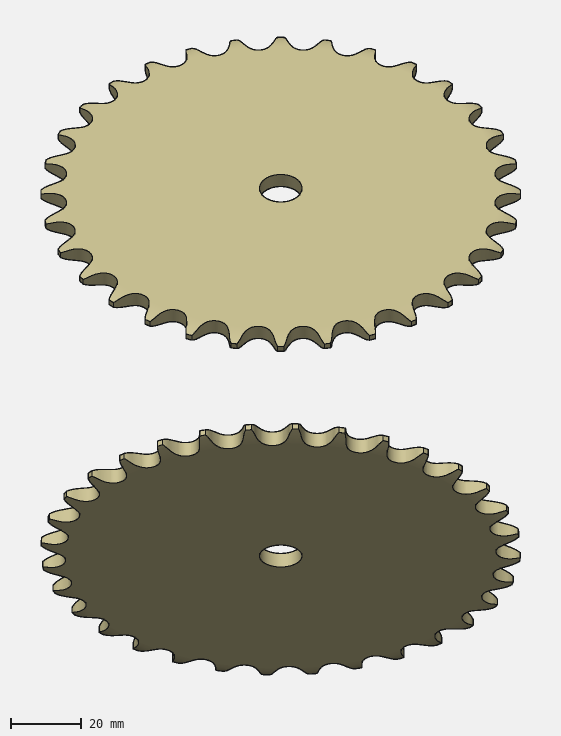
import cadquery as cq
import math

TOOTH_COUNT = 32
PITCH = 12.7
ROLLER_DIAMETER = 7.77
OUTER_DIAMETER = 135.5
THICKNESS = 4.5
BORE_DIAMETER = 12.0

TIP_RELIEF_START_RADIUS = 62.0
TIP_RELIEF_RADIUS = PITCH

half_tooth_angle = math.pi / TOOTH_COUNT
pitch_radius = PITCH / (2 * math.sin(half_tooth_angle))
outer_radius = OUTER_DIAMETER / 2

SEATING_CLEARANCE = 0.0762
seating_radius = (1.005 * ROLLER_DIAMETER + SEATING_CLEARANCE) / 2
working_center_offset = 0.8 * ROLLER_DIAMETER
topping_center_offset = 1.4 * ROLLER_DIAMETER
working_radius = seating_radius + working_center_offset
seating_end_angle = math.radians(35 + 60 / TOOTH_COUNT)
working_sweep = math.radians(18 - 56 / TOOTH_COUNT)
flank_normal_angle = seating_end_angle - working_sweep
topping_angle = math.radians(17 - 64 / TOOTH_COUNT)
flank_length = (
    topping_center_offset * math.sin(topping_angle)
    - working_center_offset * math.sin(working_sweep)
)
topping_radius = (
    working_center_offset * math.cos(working_sweep)
    + topping_center_offset * math.cos(topping_angle)
    - working_radius
)


def offset_point(origin, distance, angle):
    """Point at a distance from origin, in a direction measured downwards from +X."""
    return (
        origin[0] + distance * math.cos(angle),
        origin[1] - distance * math.sin(angle),
    )


def mirrored(point):
    return (-point[0], point[1])


def tooth_gap():
    """Cutter for the gap centred on the +Y axis."""
    seat_center = (0, pitch_radius)
    seat_bottom = (0, pitch_radius - seating_radius)
    seat_mid_angle = (seating_end_angle + math.pi / 2) / 2
    seat_mid = offset_point(seat_center, seating_radius, seat_mid_angle)
    seat_end = offset_point(seat_center, seating_radius, seating_end_angle)

    working_center = offset_point(seat_center, -working_center_offset, seating_end_angle)
    working_mid_angle = seating_end_angle - working_sweep / 2
    working_mid = offset_point(working_center, working_radius, working_mid_angle)
    working_end = offset_point(working_center, working_radius, flank_normal_angle)

    flank_direction = flank_normal_angle - math.pi / 2
    flank_end = offset_point(working_end, flank_length, flank_direction)

    topping_center = offset_point(flank_end, topping_radius, flank_normal_angle)
    topping_end_angle = math.asin((outer_radius - topping_center[1]) / topping_radius)
    topping_mid_angle = (flank_normal_angle + topping_end_angle) / 2
    topping_mid = offset_point(topping_center, -topping_radius, topping_mid_angle)
    topping_end = offset_point(topping_center, -topping_radius, topping_end_angle)

    return (
        cq.Workplane("XY", origin=(0, 0, -THICKNESS / 2))
        .moveTo(*seat_bottom)
        .threePointArc(seat_mid, seat_end)
        .threePointArc(working_mid, working_end)
        .lineTo(*flank_end)
        .threePointArc(topping_mid, topping_end)
        .lineTo(*mirrored(topping_end))
        .threePointArc(mirrored(topping_mid), mirrored(flank_end))
        .lineTo(*mirrored(working_end))
        .threePointArc(mirrored(working_mid), mirrored(seat_end))
        .threePointArc(mirrored(seat_mid), seat_bottom)
        .close()
        .extrude(THICKNESS, clean=False)
    )


def relief_depth(radius):
    """How far each face has curved in at a given radius from the axis."""
    run = radius - TIP_RELIEF_START_RADIUS
    return TIP_RELIEF_RADIUS - math.sqrt(TIP_RELIEF_RADIUS**2 - run**2)


def blank():
    """Bored disc whose rim curves in from both faces."""
    bore_radius = BORE_DIAMETER / 2
    half_thickness = THICKNESS / 2
    relief_mid_radius = (TIP_RELIEF_START_RADIUS + outer_radius) / 2
    relief_mid_height = half_thickness - relief_depth(relief_mid_radius)
    tip_half_thickness = half_thickness - relief_depth(outer_radius)
    return (
        cq.Workplane("XZ")
        .moveTo(bore_radius, -half_thickness)
        .lineTo(TIP_RELIEF_START_RADIUS, -half_thickness)
        .threePointArc(
            (relief_mid_radius, -relief_mid_height),
            (outer_radius, -tip_half_thickness),
        )
        .lineTo(outer_radius, tip_half_thickness)
        .threePointArc(
            (relief_mid_radius, relief_mid_height),
            (TIP_RELIEF_START_RADIUS, half_thickness),
        )
        .lineTo(bore_radius, half_thickness)
        .close()
        .revolve(360, (0, 0, 0), (0, 1, 0))
    )


def all_tooth_gaps():
    """Tooth gaps spaced evenly around the rim."""
    gap = tooth_gap().val()
    gaps = []
    for index in range(TOOTH_COUNT):
        angle = index * 360 / TOOTH_COUNT
        gaps.append(gap.rotate((0, 0, 0), (0, 0, 1), angle))
    return cq.Workplane(obj=cq.Compound.makeCompound(gaps))


result = blank().cut(all_tooth_gaps(), clean=False)